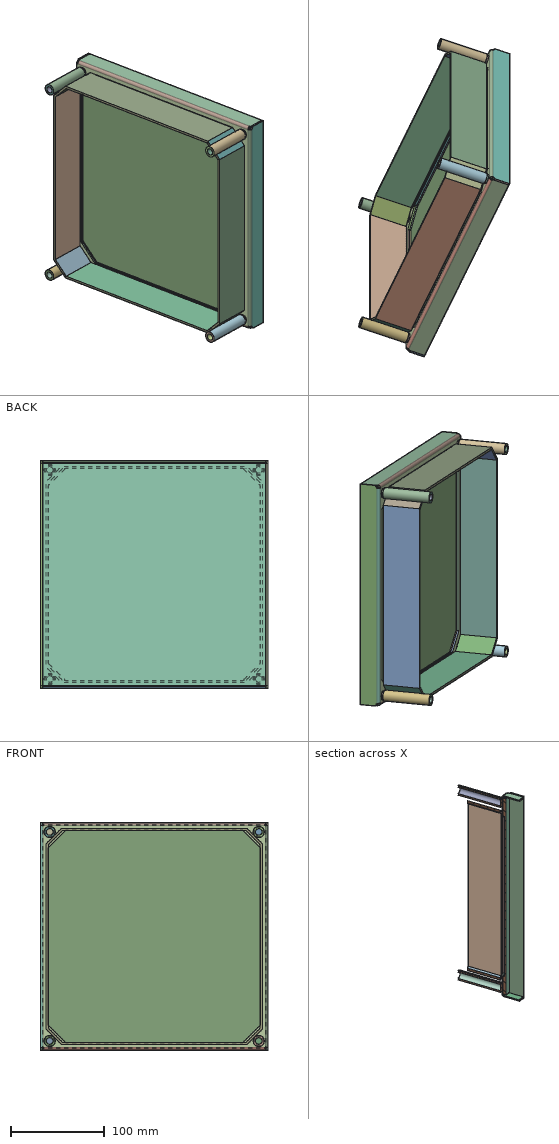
import cadquery as cq
TOTAL_DEPTH = 77.0

LID_SIZE = 243.0
LID_DEPTH = 22.0
SHEET = 2.0
BEND_INNER_RADIUS = 1.02
BEND_OUTER_RADIUS = BEND_INNER_RADIUS + SHEET
BEND_START = LID_DEPTH - BEND_OUTER_RADIUS
FLAT_SIZE = LID_SIZE - 2 * BEND_OUTER_RADIUS
FLANGE_GAP = 0.1
FLANGE_CHAMFER_LENGTH = 2.0
FLANGE_CHAMFER_DROP = BEND_OUTER_RADIUS
OPENING_SIZE = 227.0
OPENING_CORNER_LEG = 19.2

POCKET_DEPTH = 1.5
BACKING_DEPTH = POCKET_DEPTH + SHEET

FRONT_GAP = 2.0
COLLAR_START = LID_DEPTH + FRONT_GAP
COLLAR_SIZE = 230.8
COLLAR_CORNER_LEG = 16.5
COLLAR_WALL = 2.5
COLLAR_DEPTH = 41.3

PILLAR_DIAMETER = 12.0
NECK_DIAMETER = 9.7
BORE_DIAMETER = 7.0
PILLAR_LENGTH = TOTAL_DEPTH - COLLAR_START
PILLAR_OFFSET = 111.5
SIDES = (-1, 1)
PILLAR_CENTRES = [(x * PILLAR_OFFSET, z * PILLAR_OFFSET) for x in SIDES for z in SIDES]


def plane_in_front(distance):
    """Workplane parallel to XZ at the given distance in front of the lid's back, facing -Y."""
    return cq.Workplane("XZ", origin=(0, -distance, 0))


def block(width, height, start, depth):
    """Box of the given X width and Z height, reaching forward from start."""
    return plane_in_front(start).rect(width, height).extrude(depth)


def octagon_block(size, corner_leg, start, depth):
    """Square block with its four corners cut at 45 degrees."""
    return block(size, size, start, depth).edges("|Y").chamfer(corner_leg)


def folded_channel():
    """Front plate with its top and bottom flanges; the bends stop short of the lid's corners."""
    outer = block(FLAT_SIZE, LID_SIZE, 0, LID_DEPTH)
    outer = outer.faces("<Y").edges("|X").fillet(BEND_OUTER_RADIUS)
    inner = block(FLAT_SIZE, LID_SIZE - 2 * SHEET, 0, LID_DEPTH - SHEET)
    inner = inner.faces("<Y").edges("|X").fillet(BEND_INNER_RADIUS)
    return outer.cut(inner)


def flat_flanges(width):
    """Unbent part of the top and bottom flanges, across the given width."""
    outer = block(width, LID_SIZE, 0, BEND_START)
    return outer.cut(block(width, LID_SIZE - 2 * SHEET, 0, BEND_START))


def flange_corner_cuts():
    """Wedges that slope the front corners of the left and right flanges."""
    top = LID_SIZE / 2
    wedge = (
        cq.Workplane("YZ", origin=(-top, 0, 0))
        .moveTo(-BEND_START, top)
        .lineTo(-BEND_START + FLANGE_CHAMFER_LENGTH, top)
        .lineTo(-BEND_START, top - FLANGE_CHAMFER_DROP)
        .close()
        .extrude(SHEET)
    )
    wedge = wedge.union(wedge.mirror("YZ"))
    return wedge.union(wedge.mirror("XY"))


def make_lid():
    channel = folded_channel()
    side_channel = channel.rotate((0, 0, 0), (0, 1, 0), 90)
    side_flanges = flat_flanges(LID_SIZE).rotate((0, 0, 0), (0, 1, 0), 90).cut(flange_corner_cuts())
    top_flanges = flat_flanges(LID_SIZE - 2 * (SHEET + FLANGE_GAP))
    lid = channel.union(side_channel).union(side_flanges).union(top_flanges)
    return lid.cut(octagon_block(OPENING_SIZE, OPENING_CORNER_LEG, 0, LID_DEPTH))


def make_backing():
    """Plate behind the lid's front; its shallow pocket continues the lid's opening."""
    front = LID_DEPTH - SHEET
    plate = block(FLAT_SIZE, FLAT_SIZE, front - BACKING_DEPTH, BACKING_DEPTH)
    pocket = octagon_block(OPENING_SIZE, OPENING_CORNER_LEG, front - POCKET_DEPTH, POCKET_DEPTH)
    return plate.cut(pocket)


def make_collar():
    wall = octagon_block(COLLAR_SIZE, COLLAR_CORNER_LEG, COLLAR_START, COLLAR_DEPTH)
    wall = wall.faces("|Y").shell(-COLLAR_WALL)
    pillar_notches = (
        plane_in_front(COLLAR_START).pushPoints(PILLAR_CENTRES).circle(PILLAR_DIAMETER / 2).extrude(COLLAR_DEPTH)
    )
    return wall.cut(pillar_notches)


def make_pillar(x, z):
    neck = plane_in_front(LID_DEPTH).center(x, z).circle(NECK_DIAMETER / 2).extrude(FRONT_GAP)
    tube = plane_in_front(COLLAR_START).center(x, z).circle(PILLAR_DIAMETER / 2).extrude(PILLAR_LENGTH)
    bore = plane_in_front(COLLAR_START).center(x, z).circle(BORE_DIAMETER / 2).extrude(PILLAR_LENGTH)
    return tube.cut(bore).union(neck)


lid = make_lid()
backing = make_backing()
collar = make_collar()
pillars = [make_pillar(x, z) for x, z in PILLAR_CENTRES]

result = cq.Compound.makeCompound(
    [lid.val(), backing.val(), collar.val(), *[pillar.val() for pillar in pillars]]
)